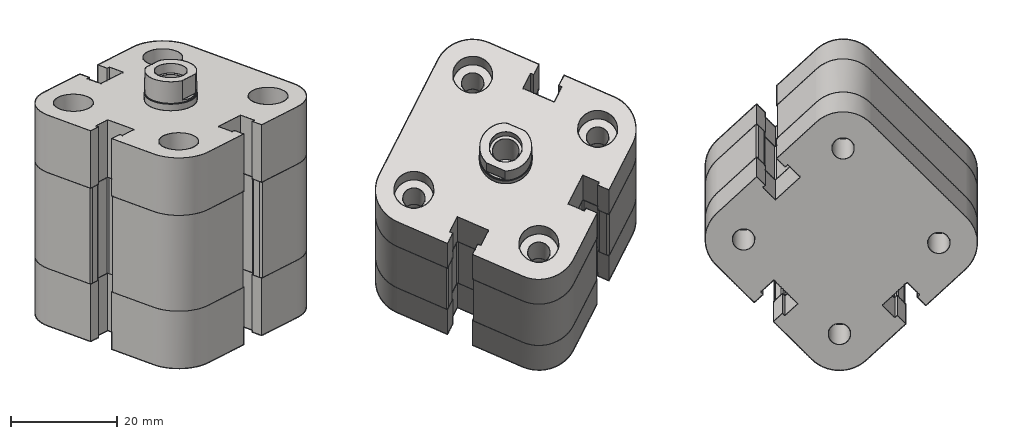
import cadquery as cq
side = 40.5
corner_radius = 7.25
cap_height = 12.0
barrel_height = 20.0
total_height = 50.0
barrel_base = cap_height
front_cap_base = barrel_base + barrel_height
housing_top = front_cap_base + cap_height

slot_depth = 5.75
slot_throat = 5.2
slot_face_angles = (-90, 0, 90)

cap_lip_depth = 2.35
cap_slot_width = 6.5

barrel_lip_depth = 2.4
barrel_slot_width = 6.6
mouth_bevel_width = 0.2
mouth_bevel_depth = 0.5
lip_bevel_width = 0.15
lip_bevel_depth = 0.4
floor_bevel_width = 0.3
floor_bevel_depth = 0.2

hole_spacing = 26.0
hole_diameter = 4.2
counterbore_diameter = 7.5
counterbore_depth = 4.1

rod_diameter = 10.0
tip_diameter = 9.8
tip_height = 4.5
shoulder_height = 0.15
flat_height = 4.0
width_across_flats = 9.0
seat_drop = 0.2
rod_hole_diameter = 5.0
rod_hole_depth = 12.0
rod_counterbore_diameter = 6.2
rod_counterbore_depth = 2.0


def cap_slot_half_profile():
    """Half of the sharp T-slot as (half width, depth) points from mouth to floor."""
    return [
        (slot_throat / 2, 0),
        (slot_throat / 2, cap_lip_depth),
        (cap_slot_width / 2, cap_lip_depth),
        (cap_slot_width / 2, slot_depth),
    ]


def barrel_slot_half_profile():
    """Half of the bevelled T-slot as (half width, depth) points from mouth to floor."""
    half_throat = slot_throat / 2
    half_width = barrel_slot_width / 2
    return [
        (half_throat + mouth_bevel_width, 0),
        (half_throat, mouth_bevel_depth),
        (half_throat, barrel_lip_depth - lip_bevel_depth),
        (half_throat + lip_bevel_width, barrel_lip_depth),
        (half_width, barrel_lip_depth),
        (half_width, slot_depth - floor_bevel_depth),
        (half_width - floor_bevel_width, slot_depth),
    ]


def slot_cutter(half_profile, height):
    """Slot-shaped prism in the -Y face, symmetric about X = 0."""
    right_half = [(x, depth - side / 2) for x, depth in half_profile]
    left_half = [(-x, y) for x, y in reversed(right_half)]
    return cq.Workplane("XY").polyline(right_half + left_half).close().extrude(height)


def corner_cylinders(diameter, base, height):
    """Four upright cylinders on the mounting hole axes."""
    return (
        cq.Workplane("XY", origin=(0, 0, base))
        .rect(hole_spacing, hole_spacing, forConstruction=True)
        .vertices()
        .circle(diameter / 2)
        .extrude(height)
    )


def housing_block(base, height, slot_half_profile):
    """Rounded square block with three T-slots and four corner through holes."""
    block = cq.Workplane("XY").rect(side, side).extrude(height)
    block = block.edges("|Z").fillet(corner_radius)
    cutter = slot_cutter(slot_half_profile, height)
    for angle in slot_face_angles:
        block = block.cut(cutter.rotate((0, 0, 0), (0, 0, 1), angle))
    block = block.cut(corner_cylinders(hole_diameter, 0, height))
    return block.translate((0, 0, base))


def make_rear_cap():
    return housing_block(0, cap_height, cap_slot_half_profile())


def make_barrel():
    return housing_block(barrel_base, barrel_height, barrel_slot_half_profile())


def make_front_cap():
    """Cap with counterbored mounting holes and a bore for the piston rod."""
    cap = housing_block(front_cap_base, cap_height, cap_slot_half_profile())
    counterbore_base = housing_top - counterbore_depth
    cap = cap.cut(corner_cylinders(counterbore_diameter, counterbore_base, counterbore_depth))
    rod_bore = cq.Workplane("XY", origin=(0, 0, front_cap_base)).circle(rod_diameter / 2)
    return cap.cut(rod_bore.extrude(cap_height))


def make_piston_rod():
    """Rod with a slimmer tip above a conical shoulder, two wrench flats and a stepped blind hole."""
    tip_base = total_height - tip_height
    flat_base = total_height - flat_height
    rod_radius = rod_diameter / 2
    tip_radius = tip_diameter / 2

    rod = (
        cq.Workplane("XZ")
        .polyline([
            (0, front_cap_base),
            (rod_radius, front_cap_base),
            (rod_radius, tip_base - shoulder_height),
            (tip_radius, tip_base),
            (tip_radius, total_height),
            (0, total_height),
        ])
        .close()
        .revolve(360, (0, 0, 0), (0, 1, 0))
    )

    flat_x = width_across_flats / 2
    seat_edge = flat_base - seat_drop
    right_flat = (
        cq.Workplane("XZ")
        .polyline([
            (flat_x, total_height),
            (flat_x, flat_base),
            (tip_radius, seat_edge),
            (tip_radius, total_height),
        ])
        .close()
        .extrude(tip_radius, both=True)
    )
    left_flat = right_flat.mirror("YZ")
    rod = rod.cut(right_flat).cut(left_flat)

    return rod.faces(">Z").workplane(origin=(0, 0, total_height)).cboreHole(
        rod_hole_diameter, rod_counterbore_diameter, rod_counterbore_depth, rod_hole_depth
    )


rear_cap = make_rear_cap()
barrel = make_barrel()
front_cap = make_front_cap()
piston_rod = make_piston_rod()

result = cq.Compound.makeCompound(
    [rear_cap.val(), barrel.val(), front_cap.val(), piston_rod.val()]
)